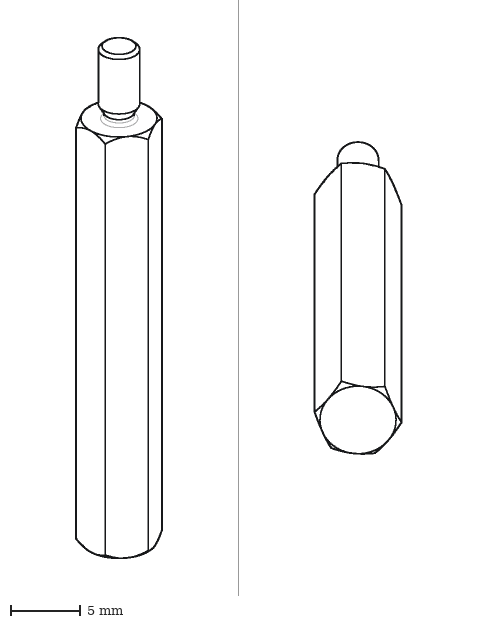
import cadquery as cq
import math

side_count = 6
across_flats = 5.5
across_corners = across_flats / math.cos(math.pi / side_count)
body_length = 35.0
end_face_diameter = across_flats

stud_length = 6.0
stud_diameter = 3.0
stud_tip_diameter = 2.46

undercut_diameter = 2.2
undercut_length = 1.2
undercut_taper_angle = 30.0
undercut_fillet_radius = 0.25


def make_hexagonal_body():
    """Hexagonal bar with its corners turned to 45 degree cones at both ends."""
    prism = cq.Workplane("XY").polygon(side_count, across_corners).extrude(body_length)
    chamfer_size = (across_corners - end_face_diameter) / 2
    turned_envelope = (
        cq.Workplane("XY")
        .circle(across_corners / 2)
        .extrude(body_length)
        .faces("<Z or >Z")
        .edges()
        .chamfer(chamfer_size)
    )
    return prism.intersect(turned_envelope)


def make_stud():
    """Revolved stud: filleted undercut, taper, cylinder and 45 degree tip chamfer."""
    stud_radius = stud_diameter / 2
    tip_radius = stud_tip_diameter / 2
    undercut_radius = undercut_diameter / 2
    tip_chamfer = stud_radius - tip_radius
    taper_height = (stud_radius - undercut_radius) / math.tan(math.radians(undercut_taper_angle))

    tip_z = body_length + stud_length
    taper_top_z = body_length + undercut_length
    taper_bottom_z = taper_top_z - taper_height
    fillet_top_z = body_length + undercut_fillet_radius

    profile = (
        cq.Workplane("XZ")
        .moveTo(0, body_length)
        .lineTo(undercut_radius + undercut_fillet_radius, body_length)
        .radiusArc((undercut_radius, fillet_top_z), undercut_fillet_radius)
        .lineTo(undercut_radius, taper_bottom_z)
        .lineTo(stud_radius, taper_top_z)
        .lineTo(stud_radius, tip_z - tip_chamfer)
        .lineTo(tip_radius, tip_z)
        .lineTo(0, tip_z)
        .close()
    )
    return profile.revolve(360, (0, 0, 0), (0, 1, 0))


result = make_hexagonal_body().union(make_stud())